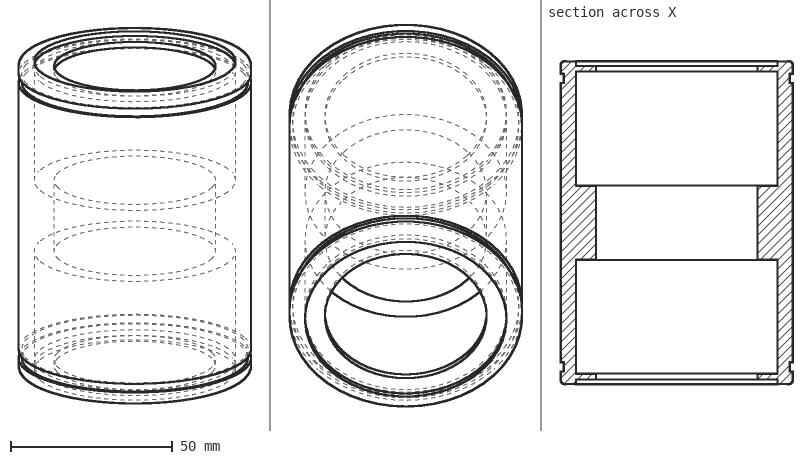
import cadquery as cq

length = 100.0
outer_diameter = 72.0
inner_diameter = 62.3
edge_radius = 1.5

groove_diameter = 70.0
groove_width = 2.8
groove_offset = 4.0

bore_diameter = 50.0
end_ring_offset = 1.5
end_ring_thickness = 1.8
middle_ring_width = 23.0


def ring(outer, inner, bottom, height):
    """Ring around the Z axis, starting at the given bottom height."""
    return (
        cq.Workplane("XY")
        .workplane(offset=bottom)
        .circle(outer / 2)
        .circle(inner / 2)
        .extrude(height)
    )


def both_ends(offset, height):
    """Bottom heights of a feature placed at the same distance from either end."""
    return offset, length - offset - height


sleeve = cq.Workplane("XY").circle(outer_diameter / 2).extrude(length)
sleeve = sleeve.faces("<Z or >Z").edges().fillet(edge_radius)
sleeve = sleeve.faces(">Z").workplane().hole(inner_diameter)

for bottom in both_ends(groove_offset, groove_width):
    sleeve = sleeve.cut(ring(outer_diameter, groove_diameter, bottom, groove_width))

for bottom in both_ends(end_ring_offset, end_ring_thickness):
    sleeve = sleeve.union(ring(inner_diameter, bore_diameter, bottom, end_ring_thickness))

middle_ring_bottom = (length - middle_ring_width) / 2
sleeve = sleeve.union(ring(inner_diameter, bore_diameter, middle_ring_bottom, middle_ring_width))

result = sleeve